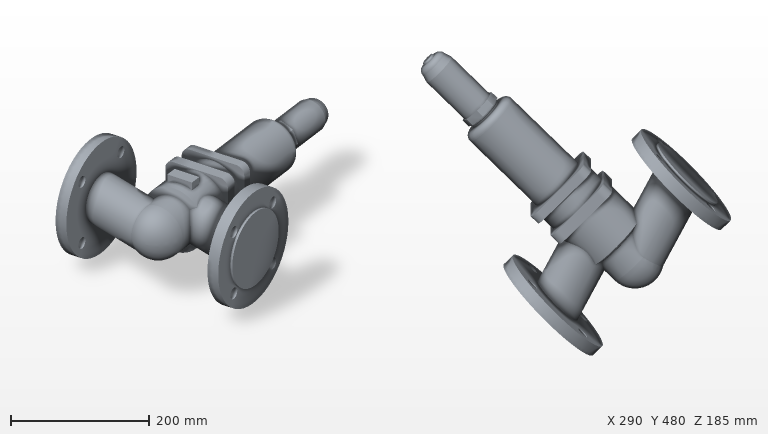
import cadquery as cq
import math


overall_length = 480

face_to_face = 290.0
flange_diameter = 185.0
flange_thickness = 18.5
raised_face_diameter = 122.0
raised_face_height = 4.0
bolt_circle_diameter = 145.0
bolt_hole_diameter = 18.2
bolt_count = 4

pipe_radius = 39.0
pipe_angle = 17
pipe_axis_crossing = 123.5

elbow_radius = 42.3
elbow_center_y = -36.0
body_radius = 53.0
body_bottom_y = 4.5
body_cone_height = 4.5

clamp_width = 108.5
clamp_corner_radius = 13.5
lower_clamp_y = 65.0
lower_clamp_thickness = 18.0
upper_clamp_y = 108.0
upper_clamp_thickness = 15.0
collar_radius = 50.5
collar_groove_radius = 47.0
collar_groove_width = 2.5

bonnet_radius = 43.0
bonnet_top_y = 269.0
bonnet_fillet = 10.5

neck_radius = 26.0
neck_groove_radius = 22.5
neck_groove_y = 271.0
neck_groove_width = 1.5
nut_corner_radius = 30.0
nut_sides = 8
nut_bottom_y = 274.0
nut_thickness = 12.5

cap_radius = 26.0
cap_top_y = overall_length - flange_diameter / 2
cap_tip_radius = 9.0
cap_tip_height = 3.0
cap_taper_start_y = 364.5
cap_taper_end_y = 375.5
cap_taper_end_radius = 22.5
cap_crown_radius = 11.5

plate_length = 42.5
plate_width = 19.0
plate_center_y = 30.0
plate_top_z = 61.5


def y_cylinder(radius, start_y, end_y):
    """Cylinder on the Y axis between two stations."""
    plane = cq.Plane(origin=(0, start_y, 0), xDir=(1, 0, 0), normal=(0, 1, 0))
    return cq.Workplane(plane).circle(radius).extrude(end_y - start_y)


def pipe_flange(side):
    """Drilled flange with a raised face; side is -1 for the -X end and +1 for the +X end."""
    back_x = face_to_face / 2 - raised_face_height - flange_thickness
    plane = cq.Plane(origin=(side * back_x, 0, 0), xDir=(0, 1, 0), normal=(side, 0, 0))
    disc = cq.Workplane(plane).circle(flange_diameter / 2).extrude(flange_thickness)
    raised = cq.Workplane(plane).circle(raised_face_diameter / 2).extrude(
        flange_thickness + raised_face_height)
    holes = (
        cq.Workplane(plane)
        .polarArray(bolt_circle_diameter / 2, 180 / bolt_count, 360, bolt_count)
        .circle(bolt_hole_diameter / 2)
        .extrude(flange_thickness)
    )
    return disc.union(raised).cut(holes)


def inclined_pipe(side):
    """Solid pipe from the bonnet axis to the flange, trimmed inside the flange disc."""
    angle = math.radians(pipe_angle)
    start_y = side * pipe_axis_crossing * math.tan(angle)
    plane = cq.Plane(
        origin=(0, start_y, 0),
        xDir=(0, 0, 1),
        normal=(side * math.cos(angle), -side * math.sin(angle), 0),
    )
    pipe = cq.Workplane(plane).circle(pipe_radius).extrude(face_to_face)
    trim_length = face_to_face - 2 * raised_face_height - flange_thickness
    return pipe.intersect(cq.Workplane("XY").box(trim_length, face_to_face, face_to_face))


def body_and_elbow():
    """Valve body, coned at its lower end down to a round-ended elbow."""
    cone_bottom_y = body_bottom_y - body_cone_height
    arc_offset = elbow_radius * math.sqrt(0.5)
    return (
        cq.Workplane("XY")
        .moveTo(0, elbow_center_y - elbow_radius)
        .threePointArc((arc_offset, elbow_center_y - arc_offset), (elbow_radius, elbow_center_y))
        .lineTo(elbow_radius, cone_bottom_y)
        .lineTo(body_radius, body_bottom_y)
        .lineTo(body_radius, lower_clamp_y)
        .lineTo(0, lower_clamp_y)
        .close()
        .revolve(360, (0, 0, 0), (0, 1, 0))
    )


def clamp_flange(start_y, thickness):
    """Square plate with rounded corners, square to the bonnet axis."""
    return (
        cq.Workplane("XY")
        .box(clamp_width, thickness, clamp_width)
        .edges("|Y")
        .fillet(clamp_corner_radius)
        .translate((0, start_y + thickness / 2, 0))
    )


def collar():
    """Round collar between the clamping flanges, with a narrow groove under the upper one."""
    groove_y = upper_clamp_y - collar_groove_width
    wide = y_cylinder(collar_radius, lower_clamp_y, groove_y)
    return wide.union(y_cylinder(collar_groove_radius, groove_y, upper_clamp_y))


def bonnet():
    """Spring bonnet with a rounded top edge."""
    barrel = y_cylinder(bonnet_radius, upper_clamp_y, bonnet_top_y)
    return barrel.faces(">Y").edges().fillet(bonnet_fillet)


def neck_and_nut():
    """Grooved neck above the bonnet, carrying the nut with corners on the X and Z directions."""
    groove_top_y = neck_groove_y + neck_groove_width
    lower = y_cylinder(neck_radius, bonnet_top_y, neck_groove_y)
    groove = y_cylinder(neck_groove_radius, neck_groove_y, groove_top_y)
    upper = y_cylinder(neck_radius, groove_top_y, nut_bottom_y)
    plane = cq.Plane(origin=(0, nut_bottom_y, 0), xDir=(1, 0, 0), normal=(0, 1, 0))
    nut = cq.Workplane(plane).polygon(nut_sides, 2 * nut_corner_radius).extrude(nut_thickness)
    return lower.union(groove).union(upper).union(nut)


def cap():
    """Cap with a tapered shoulder, a rounded crown and a small flat tip."""
    crown_y = cap_top_y - cap_tip_height
    arc_share = math.sqrt(0.5)
    crown_middle = (
        cap_crown_radius + (cap_taper_end_radius - cap_crown_radius) * arc_share,
        cap_taper_end_y + (crown_y - cap_taper_end_y) * arc_share,
    )
    return (
        cq.Workplane("XY")
        .moveTo(0, nut_bottom_y)
        .lineTo(cap_radius, nut_bottom_y)
        .lineTo(cap_radius, cap_taper_start_y)
        .lineTo(cap_taper_end_radius, cap_taper_end_y)
        .threePointArc(crown_middle, (cap_crown_radius, crown_y))
        .lineTo(cap_tip_radius, cap_top_y)
        .lineTo(0, cap_top_y)
        .close()
        .revolve(360, (0, 0, 0), (0, 1, 0))
    )


def name_plate():
    """Rectangular boss standing on the +Z side of the body."""
    return (
        cq.Workplane("XY")
        .center(0, plate_center_y)
        .rect(plate_length, plate_width)
        .extrude(plate_top_z)
    )


result = body_and_elbow()
for end in (-1, 1):
    result = result.union(inclined_pipe(end)).union(pipe_flange(end))
result = result.union(name_plate())
result = result.union(clamp_flange(lower_clamp_y, lower_clamp_thickness))
result = result.union(collar())
result = result.union(clamp_flange(upper_clamp_y, upper_clamp_thickness))
result = result.union(bonnet()).union(neck_and_nut()).union(cap())